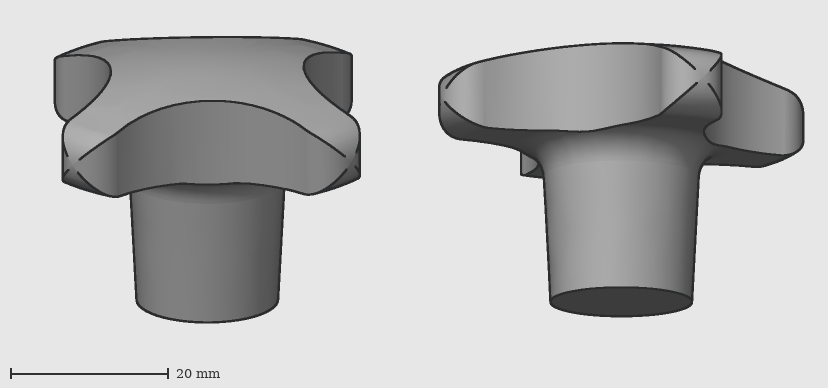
import cadquery as cq
import math

total_height = 32.0
knob_radius = 25.0

hub_base_radius = 9.0
hub_taper = math.radians(3.0)
hub_fillet_radius = 4.0
underside_height = 20.0

dome_radius = 70.0
arm_half_width = 4.0
hollow_radius = 16.0


def polar(radius, angle):
    """Point at a distance and angle (radians) from the origin."""
    return (radius * math.cos(angle), radius * math.sin(angle))


def shifted(center, offset):
    """Point reached from a center by an offset."""
    return (center[0] + offset[0], center[1] + offset[1])


def knob_body():
    """Revolved solid: tapered hub, flared underside, rounded rim and domed top."""
    hub_radius_at_underside = hub_base_radius + underside_height * math.tan(hub_taper)
    flare_turn = math.pi / 2 - hub_taper
    flare_end_radius = hub_radius_at_underside + hub_fillet_radius * math.tan(flare_turn / 2)
    flare_center = (flare_end_radius, underside_height - hub_fillet_radius)
    flare_start = shifted(flare_center, polar(hub_fillet_radius, math.pi - hub_taper))
    flare_middle = shifted(flare_center, polar(hub_fillet_radius, math.pi / 2 + flare_turn / 2))
    flare_end = (flare_end_radius, underside_height)

    dome_center = (0, total_height - dome_radius)
    rise = underside_height - dome_center[1]
    half_linear = rise - knob_radius + dome_radius
    constant = knob_radius**2 + rise**2 - dome_radius**2
    rim_radius = -half_linear + math.sqrt(half_linear**2 - constant)
    rim_center = (knob_radius - rim_radius, underside_height + rim_radius)
    rim_start = (rim_center[0], underside_height)
    rim_middle = (knob_radius, rim_center[1])
    rim_end_angle = math.atan2(rim_center[1] - dome_center[1], rim_center[0])
    rim_end = shifted(dome_center, polar(dome_radius, rim_end_angle))
    dome_middle = shifted(dome_center, polar(dome_radius, (rim_end_angle + math.pi / 2) / 2))

    return (
        cq.Workplane("XZ")
        .moveTo(0, 0)
        .lineTo(hub_base_radius, 0)
        .lineTo(*flare_start)
        .threePointArc(flare_middle, flare_end)
        .lineTo(*rim_start)
        .threePointArc(rim_middle, rim_end)
        .threePointArc(dome_middle, (0, total_height))
        .close()
        .revolve(360, (0, 0, 0), (0, 1, 0))
    )


def star_prism():
    """Four-armed star with round arm ends and circular hollows between the arms."""
    arm_end = knob_radius - arm_half_width

    half_chord = (arm_end - arm_half_width) / math.sqrt(2)
    chord_distance = (arm_end + arm_half_width) / math.sqrt(2)
    hollow_center_distance = chord_distance + math.sqrt(hollow_radius**2 - half_chord**2)
    throat = (hollow_center_distance - hollow_radius) / math.sqrt(2)

    outline = cq.Workplane("XY").moveTo(arm_end, -arm_half_width)
    for quarter in range(4):
        angle = quarter * math.pi / 2

        def turned(x, y):
            return (
                x * math.cos(angle) - y * math.sin(angle),
                x * math.sin(angle) + y * math.cos(angle),
            )

        outline = (
            outline.threePointArc(turned(knob_radius, 0), turned(arm_end, arm_half_width))
            .threePointArc(turned(throat, throat), turned(arm_half_width, arm_end))
        )
    return outline.close().extrude(total_height)


result = knob_body().intersect(star_prism())